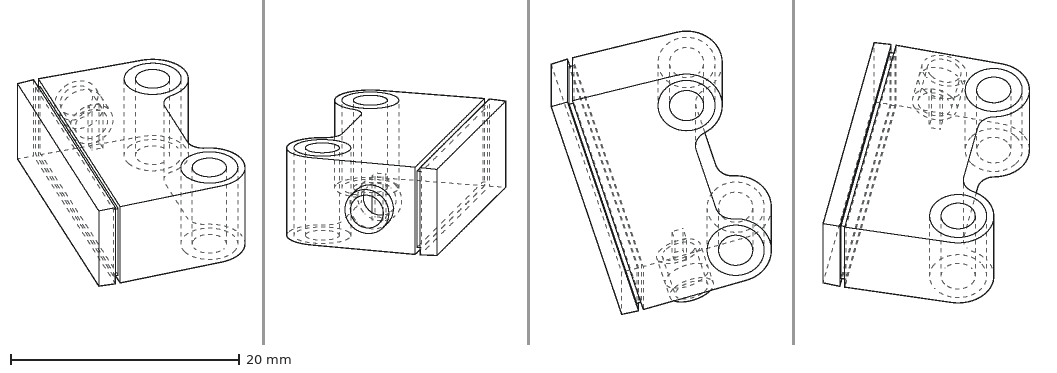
import cadquery as cq
import math


total_length = 23.05
total_depth = 14.55
height = 8.0

cover_thickness = 1.52
cover_draft = 2.0
gasket_thickness = 0.44
gasket_inset = 0.5

housing_width = 21.67
lug_spacing = 15.0
lug_radius = 3.13
notch_floor_y = 10.95
notch_fillet = 1.5

bushing_diameter = 5.0
bushing_bore = 3.0

sleeve_diameter = 4.0
sleeve_bore = 3.0
sleeve_length = 4.0
sleeve_y = 5.97

bar_thickness = 1.01
bar_depth = 1.01
bar_height = sleeve_diameter
bar_offset = 0.2

bar_y = sleeve_y + bar_offset
housing_front_y = cover_thickness + gasket_thickness
half_width = housing_width / 2
lug_x = lug_spacing / 2
lug_y = total_depth - lug_radius
sleeve_tip_x = half_width - total_length
sleeve_end_x = sleeve_tip_x + sleeve_length


def bushing_blank(side):
    """Solid cylinder filling the bushing seat in the lug on the given side (-1 or 1)."""
    return (
        cq.Workplane("XY", origin=(side * lug_x, lug_y, -height / 2))
        .circle(bushing_diameter / 2)
        .extrude(height)
    )


def sleeve_cylinder(diameter):
    """Cylinder along X spanning the length of the sleeve."""
    return (
        cq.Workplane("YZ", origin=(sleeve_tip_x, sleeve_y, 0))
        .circle(diameter / 2)
        .extrude(sleeve_length)
    )


def make_contact_bar():
    """Upright bar whose -X face is flush with the floor of the sleeve hole."""
    return (
        cq.Workplane("YZ", origin=(sleeve_end_x, bar_y, 0))
        .rect(bar_thickness, bar_height)
        .extrude(bar_depth)
    )


def make_housing():
    """Two-lug block with tangent flanks, a filleted notch, and seats for the other bodies."""
    corner_dx = half_width - lug_x
    corner_dy = housing_front_y - lug_y
    corner_distance = math.hypot(corner_dx, corner_dy)
    tangent_angle = math.atan2(corner_dy, corner_dx) + math.acos(lug_radius / corner_distance)
    tangent_x = lug_x + lug_radius * math.cos(tangent_angle)
    tangent_y = lug_y + lug_radius * math.sin(tangent_angle)

    fillet_y = notch_floor_y + notch_fillet
    center_distance = lug_radius + notch_fillet
    fillet_angle = math.asin((fillet_y - lug_y) / center_distance)
    fillet_x = lug_x - center_distance * math.cos(fillet_angle)
    blend_x = lug_x - lug_radius * math.cos(fillet_angle)
    blend_y = lug_y + lug_radius * math.sin(fillet_angle)
    fillet_mid_angle = (fillet_angle + math.pi / 2) / 2
    fillet_mid_x = fillet_x + notch_fillet * math.cos(fillet_mid_angle)
    fillet_mid_y = fillet_y - notch_fillet * math.sin(fillet_mid_angle)

    body = (
        cq.Workplane("XY", origin=(0, 0, -height / 2))
        .moveTo(-half_width, housing_front_y)
        .lineTo(half_width, housing_front_y)
        .lineTo(tangent_x, tangent_y)
        .threePointArc((lug_x, total_depth), (blend_x, blend_y))
        .threePointArc((fillet_mid_x, fillet_mid_y), (fillet_x, notch_floor_y))
        .lineTo(-fillet_x, notch_floor_y)
        .threePointArc((-fillet_mid_x, fillet_mid_y), (-blend_x, blend_y))
        .threePointArc((-lug_x, total_depth), (-tangent_x, tangent_y))
        .close()
        .extrude(height)
    )
    for side in (-1, 1):
        body = body.cut(bushing_blank(side))
    return body.cut(sleeve_cylinder(sleeve_diameter)).cut(make_contact_bar())


def make_bushing(side):
    """Flush through-bushing for the lug on the given side (-1 or 1)."""
    return bushing_blank(side).faces(">Z").workplane().hole(bushing_bore)


def make_sleeve():
    """Tube standing out of the -X flank of the housing."""
    return sleeve_cylinder(sleeve_diameter).cut(sleeve_cylinder(sleeve_bore))


def make_gasket():
    """Plate set back on all four edges, between the housing and the cover."""
    return (
        cq.Workplane("XZ", origin=(0, housing_front_y, 0))
        .rect(housing_width - 2 * gasket_inset, height - 2 * gasket_inset)
        .extrude(gasket_thickness)
    )


def make_cover():
    """Drafted front plate, full size at its back face."""
    return (
        cq.Workplane("XZ", origin=(0, cover_thickness, 0))
        .rect(housing_width, height)
        .extrude(cover_thickness, taper=cover_draft)
    )


housing = make_housing()
bushings = [make_bushing(side) for side in (-1, 1)]
sleeve = make_sleeve()
contact_bar = make_contact_bar()
gasket = make_gasket()
cover = make_cover()

result = cq.Compound.makeCompound(
    [
        housing.val(),
        *[bushing.val() for bushing in bushings],
        sleeve.val(),
        contact_bar.val(),
        gasket.val(),
        cover.val(),
    ]
)